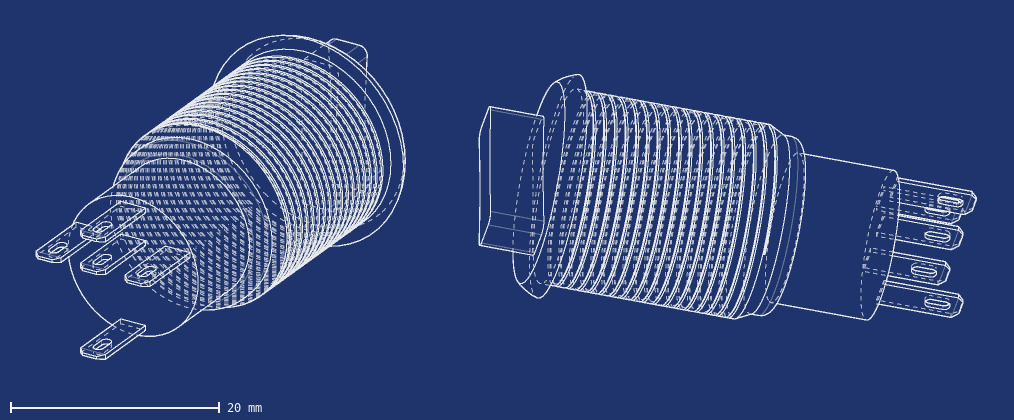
import cadquery as cq
import math


bezel_diameter = 21.8
bezel_front_diameter = 19.65
bezel_thickness = 1.95
bezel_bulge = 0.15

handle_length = 5.28
handle_width = 4.5
handle_height = 15.5
handle_corner_radius = 0.9
handle_offset_x = 0.3
handle_offset_z = -0.15
handle_waist_depth = 0.4

barrel_length = 22.4
barrel_diameter = 19.0
cone_start = 19.1
cone_length = 1.5
collar_diameter = 17.47
collar_fillet = 1.0

rear_diameter = 14.6
rear_length = 9.45

thread_length = 18.3
thread_start = 0.95
thread_turns = 17.3
thread_start_angle = 135
groove_width = 0.3
groove_depth = 0.25
groove_overlap = 0.05

terminal_length = 8.0
terminal_width = 2.8
terminal_thickness = 0.5
terminal_tip_length = 0.6
terminal_tip_thickness = 0.3
slot_width = 1.05
slot_length = 2.45
slot_tip_distance = 2.35
terminal_spacing = 5.0
terminal_row_height = 2.8
terminal_outer_height = 6.25

thread_pitch = thread_length / thread_turns
rear_end = barrel_length + rear_length
terminal_end = rear_end + terminal_length
terminal_positions = [
    (-terminal_spacing, terminal_row_height),
    (0, terminal_row_height),
    (terminal_spacing, terminal_row_height),
    (0, terminal_outer_height),
    (0, -terminal_outer_height),
]


def make_body():
    """Bezel, barrel and rear body as one turned shape."""
    barrel_radius = barrel_diameter / 2
    collar_radius = collar_diameter / 2
    rear_radius = rear_diameter / 2
    fillet_middle = collar_fillet * (1 - math.sqrt(0.5))
    return (
        cq.Workplane("XY")
        .moveTo(0, bezel_thickness)
        .lineTo(bezel_front_diameter / 2, bezel_thickness)
        .sagittaArc((bezel_diameter / 2, 0), bezel_bulge)
        .lineTo(barrel_radius, 0)
        .lineTo(barrel_radius, -cone_start)
        .lineTo(collar_radius, -cone_start - cone_length)
        .lineTo(collar_radius, -barrel_length + collar_fillet)
        .threePointArc(
            (collar_radius - fillet_middle, -barrel_length + fillet_middle),
            (collar_radius - collar_fillet, -barrel_length),
        )
        .lineTo(rear_radius, -barrel_length)
        .lineTo(rear_radius, -rear_end)
        .lineTo(0, -rear_end)
        .close()
        .revolve(360, (0, 0, 0), (0, 1, 0))
    )


def make_thread_cutter():
    """V-shaped ridge swept along a right-handed helix that advances towards -Y."""
    barrel_radius = barrel_diameter / 2
    flare = groove_width / 2 * (1 + groove_overlap / groove_depth)
    helix = cq.Wire.makeHelix(thread_pitch, thread_length, barrel_radius)
    profile = (
        cq.Workplane("XZ")
        .moveTo(barrel_radius - groove_depth, 0)
        .lineTo(barrel_radius + groove_overlap, flare)
        .lineTo(barrel_radius + groove_overlap, -flare)
        .close()
    )
    return (
        profile.sweep(cq.Workplane(helix), isFrenet=True)
        .rotate((0, 0, 0), (0, 0, 1), thread_start_angle)
        .rotate((0, 0, 0), (1, 0, 0), 90)
        .translate((0, -thread_start, 0))
    )


def make_handle():
    """Upright bar with hollow sides and rounded corners, rooted on the bezel."""
    half_width = handle_width / 2
    half_height = handle_height / 2
    waist = half_width - handle_waist_depth
    return (
        cq.Workplane("XZ", origin=(handle_offset_x, bezel_thickness, handle_offset_z))
        .moveTo(-half_width, -half_height)
        .lineTo(half_width, -half_height)
        .threePointArc((waist, 0), (half_width, half_height))
        .lineTo(-half_width, half_height)
        .threePointArc((-waist, 0), (-half_width, -half_height))
        .close()
        .extrude(-handle_length)
        .edges("|Y")
        .fillet(handle_corner_radius)
    )


def make_terminal():
    """Flat terminal with a bevelled tip and a solder slot, centred on X = Z = 0."""
    half_width = terminal_width / 2
    half_thickness = terminal_thickness / 2
    half_tip = terminal_tip_thickness / 2
    bevel_start = terminal_end - terminal_tip_length
    blade = (
        cq.Workplane("YZ")
        .moveTo(-rear_end, half_thickness)
        .lineTo(-bevel_start, half_thickness)
        .lineTo(-terminal_end, half_tip)
        .lineTo(-terminal_end, -half_tip)
        .lineTo(-bevel_start, -half_thickness)
        .lineTo(-rear_end, -half_thickness)
        .close()
        .extrude(half_width, both=True)
    )
    outline = (
        cq.Workplane("XY")
        .moveTo(-half_width, -rear_end)
        .lineTo(-half_width, -bevel_start)
        .lineTo(-half_width + terminal_tip_length, -terminal_end)
        .lineTo(half_width - terminal_tip_length, -terminal_end)
        .lineTo(half_width, -bevel_start)
        .lineTo(half_width, -rear_end)
        .close()
        .extrude(terminal_thickness, both=True)
    )
    slot = (
        cq.Workplane("XY", origin=(0, slot_tip_distance - terminal_end, 0))
        .slot2D(slot_length, slot_width, 90)
        .extrude(terminal_thickness, both=True)
    )
    return blade.intersect(outline).cut(slot)


result = make_body().cut(make_thread_cutter()).union(make_handle())
terminal = make_terminal()
for x, z in terminal_positions:
    result = result.union(terminal.translate((x, 0, z)))